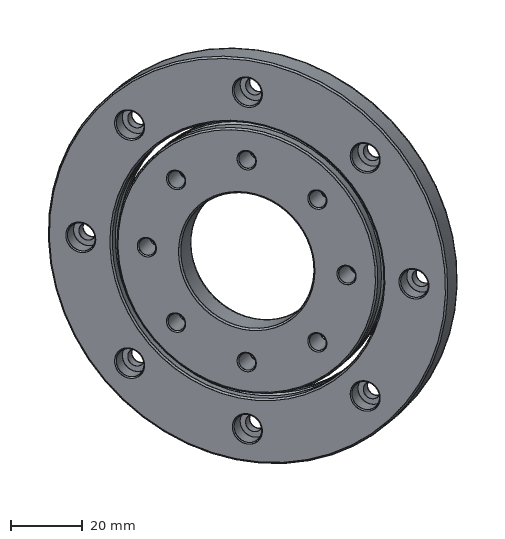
import cadquery as cq
import math

overall_thickness = 8.5
edge_chamfer = 0.5
hole_chamfer = 0.4
holes_per_circle = 8

inner_ring_rise = 0.5
outer_ring_diameter = 120.0
outer_ring_bore = 81.6
outer_ring_thickness = overall_thickness - inner_ring_rise
outer_hole_circle_radius = 50.0
outer_hole_diameter = 5.0
counterbore_diameter = 8.3
counterbore_depth = 4.9

inner_ring_diameter = 78.4
inner_ring_bore = 40.0
inner_hole_circle_radius = 30.0
inner_hole_diameter = 5.0

raceway_width = 2.5
raceway_depth = raceway_width / 2
raceway_centre_y = outer_ring_thickness / 2


def cylinder(diameter, front_y, length, x=0.0, z=0.0):
    """Cylinder running toward +Y from its front end."""
    return cq.Workplane(cq.Solid.makeCylinder(
        diameter / 2, length, cq.Vector(x, front_y, z), cq.Vector(0, 1, 0)
    ))


def chamfered_ring(diameter, bore, front_y, thickness):
    """Flat ring with all four circular edges chamfered."""
    ring = cylinder(diameter, front_y, thickness).cut(cylinder(bore, front_y, thickness))
    return ring.faces("<Y or >Y").edges().chamfer(edge_chamfer)


def mouth_chamfer(diameter, front_y, x, z):
    """Cone that chamfers the front mouth of a hole."""
    return cq.Workplane(cq.Solid.makeCone(
        diameter / 2 + hole_chamfer, diameter / 2, hole_chamfer,
        cq.Vector(x, front_y, z), cq.Vector(0, 1, 0)
    ))


def raceway(mouth_diameter, root_diameter):
    """Solid of revolution that cuts a V-groove from its mouth to its sharp root."""
    half_width = raceway_width / 2
    mouth_radius = mouth_diameter / 2
    root_radius = root_diameter / 2
    profile = [
        (mouth_radius, raceway_centre_y - half_width),
        (root_radius, raceway_centre_y),
        (mouth_radius, raceway_centre_y + half_width),
    ]
    return cq.Workplane("XY").polyline(profile).close().revolve(360, (0, 0, 0), (0, 1, 0))


def hole_centres(circle_radius):
    """X, Z positions of the evenly spaced holes, the first one on the X axis."""
    centres = []
    for index in range(holes_per_circle):
        angle = 2 * math.pi * index / holes_per_circle
        centres.append((circle_radius * math.cos(angle), circle_radius * math.sin(angle)))
    return centres


def make_outer_ring():
    front_y = 0.0
    ring = chamfered_ring(outer_ring_diameter, outer_ring_bore, front_y, outer_ring_thickness)
    ring = ring.cut(raceway(outer_ring_bore, outer_ring_bore + 2 * raceway_depth))
    for x, z in hole_centres(outer_hole_circle_radius):
        ring = ring.cut(cylinder(outer_hole_diameter, front_y, outer_ring_thickness, x, z))
        ring = ring.cut(cylinder(counterbore_diameter, front_y, counterbore_depth, x, z))
        ring = ring.cut(mouth_chamfer(counterbore_diameter, front_y, x, z))
    return ring


def make_inner_ring():
    front_y = -inner_ring_rise
    ring = chamfered_ring(inner_ring_diameter, inner_ring_bore, front_y, overall_thickness)
    ring = ring.cut(raceway(inner_ring_diameter, inner_ring_diameter - 2 * raceway_depth))
    for x, z in hole_centres(inner_hole_circle_radius):
        ring = ring.cut(cylinder(inner_hole_diameter, front_y, overall_thickness, x, z))
        ring = ring.cut(mouth_chamfer(inner_hole_diameter, front_y, x, z))
    return ring


outer_ring = make_outer_ring()
inner_ring = make_inner_ring()

result = cq.Compound.makeCompound([outer_ring.val(), inner_ring.val()])